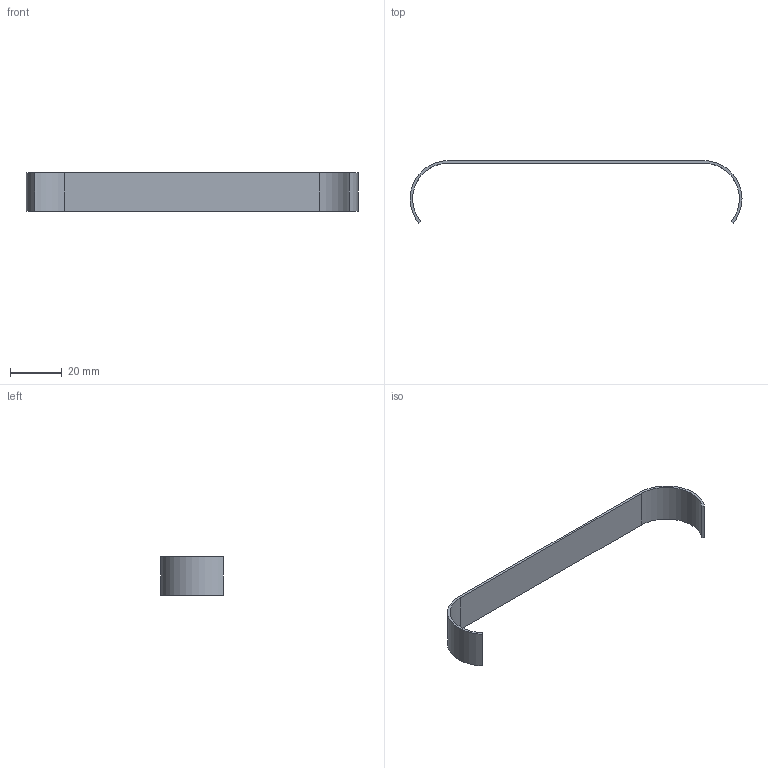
import cadquery as cq
import math

straight_length = 99.0
strip_width = 15.0
thickness = 1.0
outer_radius = 14.8
wrap_angle = math.radians(40)

inner_radius = outer_radius - thickness
hook_centre_x = straight_length / 2
quarter_turn = math.pi / 2


def hook_point(radius, angle):
    """Point on the right-hand hook, with the angle measured from +X."""
    return (hook_centre_x + radius * math.cos(angle), radius * math.sin(angle))


def mirrored(point):
    """The matching point on the left-hand hook."""
    x, y = point
    return (-x, y)


def make_clip():
    """Flat strip with an inward-curling hook at each end."""
    tip_outer = hook_point(outer_radius, -wrap_angle)
    tip_inner = hook_point(inner_radius, -wrap_angle)
    side_outer = hook_point(outer_radius, 0)
    side_inner = hook_point(inner_radius, 0)
    back_outer = hook_point(outer_radius, quarter_turn)
    back_inner = hook_point(inner_radius, quarter_turn)

    profile = (
        cq.Workplane("XY")
        .moveTo(*mirrored(tip_outer))
        .threePointArc(mirrored(side_outer), mirrored(back_outer))
        .lineTo(*back_outer)
        .threePointArc(side_outer, tip_outer)
        .lineTo(*tip_inner)
        .threePointArc(side_inner, back_inner)
        .lineTo(*mirrored(back_inner))
        .threePointArc(mirrored(side_inner), mirrored(tip_inner))
        .close()
    )
    return profile.extrude(strip_width)


result = make_clip()